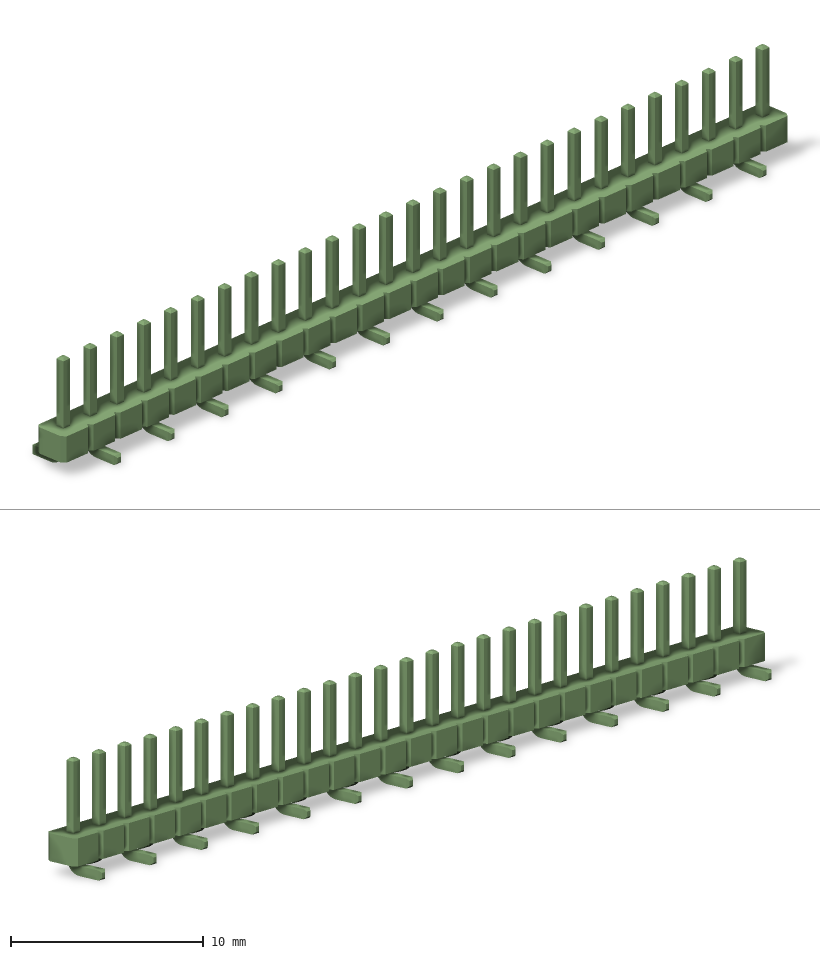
import cadquery as cq

row_length = 54.0
foot_span = 4.2
total_height = 6.2

pin_count = 27
pitch = row_length / pin_count
body_width = 2.05
body_bottom = 0.7
body_top = 2.2
corner_cut_x = 0.25
corner_cut_y = 0.2

pin_size = 0.5
foot_height = 0.55
bend_outer_radius = 0.9
bend_inner_radius = bend_outer_radius - foot_height
end_chamfer = pin_size / 4


def body_segment(y):
    """One cell of the body: an octagon with its four upright corners cut off."""
    half_width = body_width / 2
    half_length = pitch / 2
    flat_half_width = half_width - corner_cut_x
    flat_half_length = half_length - corner_cut_y
    outline = [
        (half_width, -flat_half_length),
        (half_width, flat_half_length),
        (flat_half_width, half_length),
        (-flat_half_width, half_length),
        (-half_width, flat_half_length),
        (-half_width, -flat_half_length),
        (-flat_half_width, -half_length),
        (flat_half_width, -half_length),
    ]
    return (
        cq.Workplane("XY", origin=(0, y, body_bottom))
        .polyline(outline)
        .close()
        .extrude(body_top - body_bottom)
    )


def bent_pin(y, side):
    """An upright pin whose foot lies along X, toward -X (side = -1) or +X (side = 1)."""
    half = pin_size / 2
    foot_end = side * foot_span / 2
    outer_x = -side * half
    inner_x = side * half
    bend_x = outer_x + side * bend_outer_radius
    foot_end_face = "<X" if side < 0 else ">X"
    return (
        cq.Workplane("XZ", origin=(0, y + half, 0))
        .moveTo(outer_x, total_height)
        .lineTo(outer_x, bend_outer_radius)
        .radiusArc((bend_x, 0), side * -bend_outer_radius)
        .lineTo(foot_end, 0)
        .lineTo(foot_end, foot_height)
        .lineTo(inner_x + side * bend_inner_radius, foot_height)
        .radiusArc((inner_x, bend_outer_radius), side * bend_inner_radius)
        .lineTo(inner_x, total_height)
        .close()
        .extrude(pin_size)
        .faces(">Z or " + foot_end_face)
        .chamfer(end_chamfer)
    )


result = cq.Workplane("XY")
for index in range(pin_count):
    pin_y = (index - (pin_count - 1) / 2) * pitch
    foot_side = -1 if index % 2 == 0 else 1
    result = result.union(body_segment(pin_y)).union(bent_pin(pin_y, foot_side))